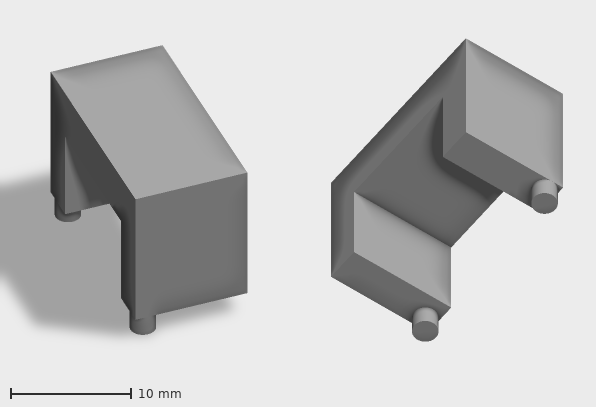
import cadquery as cq

length = 19.0
depth = 10.0
total_height = 14.3
peg_length = 1.8
body_height = total_height - peg_length

channel_width = 12.5
channel_height = 8.0

peg_diameter = 2.2
peg_radius = peg_diameter / 2
peg_x = length / 2 - peg_radius
peg_y = -depth / 2 + peg_radius


def block(width, height):
    """Full-depth box centred in X and Y, standing on Z = 0."""
    return cq.Workplane("XY").box(width, depth, height, centered=(True, True, False))


def pegs():
    """One peg below the front outer corner of each leg."""
    return (
        cq.Workplane("XY")
        .pushPoints([(-peg_x, peg_y), (peg_x, peg_y)])
        .circle(peg_radius)
        .extrude(-peg_length)
    )


bridge = block(length, body_height).cut(block(channel_width, channel_height))
result = bridge.union(pegs())